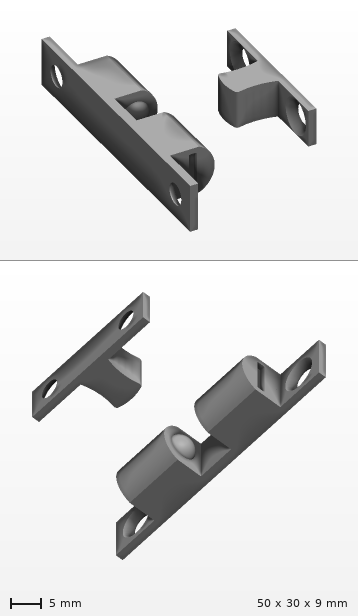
import cadquery as cq
import math

catch_span = 30.0
plate_thickness = 1.5

housing_length = 50.0
housing_height = 9.0
block_outer_x = 15.5
gap_width = 7.4
gap_floor_y = 1.8
crown_radius = 4.9
crown_center_y = 5.0
housing_hole_spacing = 40.0
housing_hole_diameter = 4.0
housing_sink_diameter = 6.6
housing_sink_depth = 1.3

plunger_axis_y = 5.78
plunger_diameter = 7.0
ball_radius = 2.75
ball_protrusion = 1.7
slot_width = 1.5
slot_depth = 1.0

striker_length = 27.3
striker_height = 7.0
striker_hole_spacing = 18.8
striker_hole_diameter = 3.7
striker_sink_diameter = 6.8
striker_sink_depth = plate_thickness
tongue_reach = 9.7
waist_depth = 5.57
waist_half_width = 2.8
flank_radius = 14.0
tongue_corner_depth = 9.1
tongue_corner_fillet = 0.6

gap_half = gap_width / 2
block_length = block_outer_x - gap_half
crown_edge_y = crown_center_y + math.sqrt(crown_radius**2 - (housing_height / 2) ** 2)
ball_center_x = gap_half + ball_radius - ball_protrusion
striker_plate_front = catch_span - plate_thickness


def plate(length, height, y_start):
    """Mounting plate, centred on X and Z, from y_start toward +Y."""
    middle_y = y_start + plate_thickness / 2
    return cq.Workplane("XY").box(length, plate_thickness, height).translate((0, middle_y, 0))


def screw_hole(x, y_small, direction, hole_diameter, sink_diameter, sink_depth):
    """Screw hole from y_small along direction (+1 or -1), countersunk where it leaves the plate."""
    axis = cq.Vector(0, direction, 0)
    hole_start = cq.Vector(x, y_small, 0)
    sink_start = hole_start + axis * (plate_thickness - sink_depth)
    shank = cq.Solid.makeCylinder(hole_diameter / 2, plate_thickness, hole_start, axis)
    sink = cq.Solid.makeCone(hole_diameter / 2, sink_diameter / 2, sink_depth, sink_start, axis)
    return cq.Workplane(obj=shank).union(cq.Workplane(obj=sink))


def block(side):
    """Plunger block with a rounded crown, on the side (+1 or -1) of the gap."""
    half_height = housing_height / 2
    start_x = gap_half if side > 0 else -block_outer_x
    return (
        cq.Workplane("YZ", origin=(start_x, 0, 0))
        .moveTo(0, -half_height)
        .lineTo(crown_edge_y, -half_height)
        .threePointArc((crown_center_y + crown_radius, 0), (crown_edge_y, half_height))
        .lineTo(0, half_height)
        .close()
        .extrude(block_length)
    )


def plunger_blank(side):
    """Plunger without its slot: a barrel up to the ball centre, then the ball nose."""
    barrel = (
        cq.Workplane("YZ", origin=(side * ball_center_x, plunger_axis_y, 0))
        .circle(plunger_diameter / 2)
        .extrude(side * (block_outer_x - ball_center_x))
    )
    ball = cq.Workplane("XY").sphere(ball_radius).translate((side * ball_center_x, plunger_axis_y, 0))
    return barrel.union(ball)


def make_plunger(side):
    slot = (
        cq.Workplane("XY")
        .box(2 * slot_depth, slot_width, plunger_diameter)
        .translate((side * block_outer_x, plunger_axis_y, 0))
    )
    return plunger_blank(side).cut(slot)


def make_housing():
    body = plate(housing_length, housing_height, 0)
    bridge = cq.Workplane("XY").box(gap_width, gap_floor_y, housing_height).translate((0, gap_floor_y / 2, 0))
    body = body.union(bridge)
    for side in (-1, 1):
        hole_x = side * housing_hole_spacing / 2
        body = body.union(block(side)).cut(plunger_blank(side))
        hole = screw_hole(
            hole_x, 0, 1, housing_hole_diameter, housing_sink_diameter, housing_sink_depth
        )
        body = body.cut(hole)
    return body


def tongue_half_width(depth):
    """Half width of the waisted tongue at a depth measured from the striker's mounting face."""
    return waist_half_width + flank_radius - math.sqrt(flank_radius**2 - (depth - waist_depth) ** 2)


def make_tongue():
    root_half = tongue_half_width(plate_thickness)
    corner_half = tongue_half_width(tongue_corner_depth)
    waist_y = catch_span - waist_depth
    corner_y = catch_span - tongue_corner_depth
    tip_y = catch_span - tongue_reach
    tongue = (
        cq.Workplane("XY", origin=(0, 0, -striker_height / 2))
        .moveTo(-root_half, striker_plate_front)
        .threePointArc((-waist_half_width, waist_y), (-corner_half, corner_y))
        .threePointArc((0, tip_y), (corner_half, corner_y))
        .threePointArc((waist_half_width, waist_y), (root_half, striker_plate_front))
        .close()
        .extrude(striker_height)
    )
    return tongue.edges("|Z").edges("<Y").fillet(tongue_corner_fillet)


def make_striker():
    body = plate(striker_length, striker_height, striker_plate_front).union(make_tongue())
    for side in (-1, 1):
        hole_x = side * striker_hole_spacing / 2
        hole = screw_hole(
            hole_x, catch_span, -1, striker_hole_diameter, striker_sink_diameter, striker_sink_depth
        )
        body = body.cut(hole)
    return body


housing = make_housing()
striker = make_striker()
plungers = [make_plunger(side) for side in (-1, 1)]

result = cq.Compound.makeCompound([housing.val(), striker.val(), *[plunger.val() for plunger in plungers]])